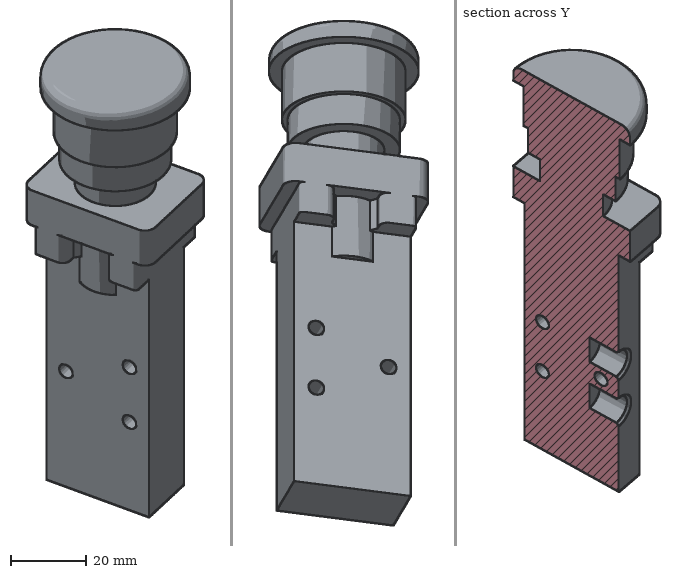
import cadquery as cq

OVERALL_HEIGHT = 136.0
BODY_TOP = 69.1
SPIGOT_TOP = 78.1
BRACKET_TOP = 87.1
PLATE_TOP = 98.6
NECK_TOP = 106.4
COLLAR_TOP = 115.4
CAP_THICKNESS = 6.0
GRIP_TOP = OVERALL_HEIGHT - CAP_THICKNESS

BODY_WIDTH = 32.3
BODY_DEPTH = 17.6
BOSS_DIAMETER = 21.0

BRACKET_DEPTH = 30.0
BRACKET_CORNER_RADIUS = 1.1
SLOT_WIDTH = 12.6
SLOT_MOUTH_RADIUS = 2.4
SLOT_STRAIGHT_DEPTH = 4.0
SLOT_FLOOR_WIDTH = 7.6

PLATE_WIDTH = 40.0
PLATE_DEPTH = 30.0
PLATE_CORNER_RADIUS = 3.4

NECK_DIAMETER = 21.7
COLLAR_DIAMETER = 30.0
GRIP_DIAMETER = 33.0
CAP_DIAMETER = 40.0
CAP_EDGE_RADIUS = 3.0

MOUNTING_HOLE_DIAMETER = 4.25
MOUNTING_HOLE_OFFSET = 10.0
MOUNTING_CENTRE_HEIGHT = 38.0
MOUNTING_HOLE_PITCH = 18.0

PORT_DIAMETER = 8.8
PORT_CHAMFER = 0.8
PORT_DEPTH = 10.0
PORT_PITCH = 17.0


def block(width, depth, bottom, top):
    """Rectangular block centred on the Z axis."""
    return (
        cq.Workplane("XY")
        .workplane(offset=bottom)
        .rect(width, depth)
        .extrude(top - bottom)
    )


def disc(diameter, bottom, top):
    """Round section centred on the Z axis."""
    return (
        cq.Workplane("XY")
        .workplane(offset=bottom)
        .circle(diameter / 2)
        .extrude(top - bottom)
    )


def slot_cutter():
    """Front relief slot: rounded mouth, straight walls, then 45 degree walls to a narrower floor."""
    front = -BRACKET_DEPTH / 2
    half_width = SLOT_WIDTH / 2
    half_floor = SLOT_FLOOR_WIDTH / 2
    half_mouth = half_width + SLOT_MOUTH_RADIUS
    straight_start = front + SLOT_MOUTH_RADIUS
    straight_end = front + SLOT_STRAIGHT_DEPTH
    floor = straight_end + half_width - half_floor
    return (
        cq.Workplane("XY")
        .workplane(offset=SPIGOT_TOP)
        .moveTo(-half_mouth, front)
        .radiusArc((-half_width, straight_start), -SLOT_MOUTH_RADIUS)
        .lineTo(-half_width, straight_end)
        .lineTo(-half_floor, floor)
        .lineTo(half_floor, floor)
        .lineTo(half_width, straight_end)
        .lineTo(half_width, straight_start)
        .radiusArc((half_mouth, front), -SLOT_MOUTH_RADIUS)
        .close()
        .extrude(BRACKET_TOP - SPIGOT_TOP)
    )


def bracket():
    """Block under the plate, slotted front and back around the round boss."""
    solid = block(BODY_WIDTH, BRACKET_DEPTH, SPIGOT_TOP, BRACKET_TOP)
    solid = solid.edges("|Z").fillet(BRACKET_CORNER_RADIUS)
    front_slot = slot_cutter()
    back_slot = front_slot.mirror("XZ")
    return solid.cut(front_slot).cut(back_slot)


def plate():
    """Mounting plate with rounded corners."""
    solid = block(PLATE_WIDTH, PLATE_DEPTH, BRACKET_TOP, PLATE_TOP)
    return solid.edges("|Z").fillet(PLATE_CORNER_RADIUS)


def push_button():
    """Neck, collar, grip and round-edged cap stacked on one axis."""
    cap = disc(CAP_DIAMETER, GRIP_TOP, OVERALL_HEIGHT)
    cap = cap.faces(">Z").edges().fillet(CAP_EDGE_RADIUS)
    return (
        disc(NECK_DIAMETER, PLATE_TOP, NECK_TOP)
        .union(disc(COLLAR_DIAMETER, NECK_TOP, COLLAR_TOP))
        .union(disc(GRIP_DIAMETER, COLLAR_TOP, GRIP_TOP))
        .union(cap)
    )


def mounting_holes():
    """One hole at -X and a pair at +X, all through along Y."""
    half_pitch = MOUNTING_HOLE_PITCH / 2
    centres = [
        (-MOUNTING_HOLE_OFFSET, MOUNTING_CENTRE_HEIGHT),
        (MOUNTING_HOLE_OFFSET, MOUNTING_CENTRE_HEIGHT - half_pitch),
        (MOUNTING_HOLE_OFFSET, MOUNTING_CENTRE_HEIGHT + half_pitch),
    ]
    return (
        cq.Workplane("XZ")
        .pushPoints(centres)
        .circle(MOUNTING_HOLE_DIAMETER / 2)
        .extrude(BODY_DEPTH / 2, both=True)
    )


def port(height):
    """Blind round port entering from the -X face, with a chamfered mouth."""
    radius = PORT_DIAMETER / 2
    mouth_radius = radius + PORT_CHAMFER
    face = -BODY_WIDTH / 2
    return (
        cq.Workplane("XY")
        .moveTo(face, 0)
        .lineTo(face, mouth_radius)
        .lineTo(face + PORT_CHAMFER, radius)
        .lineTo(face + PORT_DEPTH, radius)
        .lineTo(face + PORT_DEPTH, 0)
        .close()
        .revolve(360, (0, 0, 0), (1, 0, 0))
        .translate((0, 0, height))
    )


result = (
    block(BODY_WIDTH, BODY_DEPTH, 0, SPIGOT_TOP)
    .union(disc(BOSS_DIAMETER, BODY_TOP, BRACKET_TOP))
    .union(bracket())
    .union(plate())
    .union(push_button())
    .cut(mounting_holes())
)
for side in (-1, 1):
    result = result.cut(port(MOUNTING_CENTRE_HEIGHT + side * PORT_PITCH / 2))